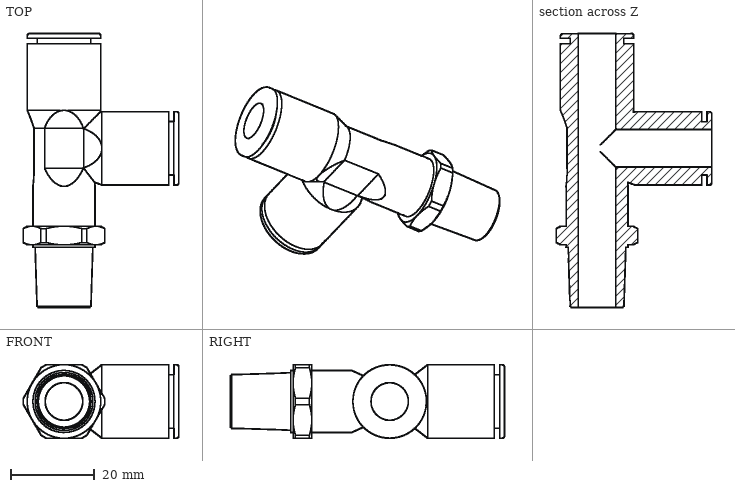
import cadquery as cq
import math

port_length = 27.36
stud_length = 37.92

port_diameter = 17.53
collar_thickness = 1.2
collar_edge_radius = 0.55
collar_gap = 1.2
collar_neck_diameter = 12.8
shoulder_distance = 9.03

hub_half_length = 4.75
hub_diameter = 14.3
hub_half_height = 5.45

barrel_diameter = 14.8
hex_start = 18.55
hex_end = 23.0
hex_across_flats = 17.53
hex_corner_diameter = 19.46
hex_chamfer_angle = 30
washer_end = 23.6
thread_taper = 1 / 16
thread_tip_diameter = 12.9
thread_tip_chamfer = 0.35
bore_diameter = 8.9

port_radius = port_diameter / 2
hub_radius = hub_diameter / 2
barrel_radius = barrel_diameter / 2


def revolve_along_y(profile):
    """Revolve a closed (radius, y) profile about the Y axis."""
    return cq.Workplane("XY").polyline(profile).close().revolve(360, (0, 0, 0), (0, 1, 0))


def cylinder_along_y(radius, y_from, y_to):
    return revolve_along_y([(0, y_from), (radius, y_from), (radius, y_to), (0, y_to)])


def cone_flats(end_radius):
    """Space between two flats widening from the hub height to end_radius at the shoulder."""
    reach = port_diameter
    half_outline = [
        (0, hub_half_height),
        (hub_half_length, hub_half_height),
        (shoulder_distance, end_radius),
    ]
    mirrored = [(y, -z) for y, z in reversed(half_outline)]
    return cq.Workplane("YZ").polyline(half_outline + mirrored).close().extrude(reach, both=True)


def hub_arm(end_radius):
    """Half of the hub and its cone, running from the origin towards +Y."""
    cone = revolve_along_y([
        (0, 0),
        (hub_radius, 0),
        (hub_radius, hub_half_length),
        (end_radius, shoulder_distance),
        (0, shoulder_distance),
    ])
    return cone.intersect(cone_flats(end_radius))


def push_in_port():
    """Hub arm, barrel, neck and release collar, running from the origin towards +Y."""
    collar_start = port_length - collar_thickness
    barrel_end = collar_start - collar_gap
    barrel = cylinder_along_y(port_radius, shoulder_distance, barrel_end)
    neck = cylinder_along_y(collar_neck_diameter / 2, barrel_end, collar_start)
    collar = cylinder_along_y(port_radius, collar_start, port_length)
    collar = collar.faces(">Y").edges().fillet(collar_edge_radius)
    return hub_arm(port_radius).union(barrel).union(neck).union(collar)


def hexagon():
    """Wrench hexagon with flats facing +Z and -Z, turned corners and chamfered ends."""
    corner_radius = hex_corner_diameter / 2
    face_radius = hex_across_flats / 2
    chamfer_depth = (corner_radius - face_radius) * math.tan(math.radians(hex_chamfer_angle))
    prism = (
        cq.Workplane("XZ", origin=(0, -hex_start, 0))
        .polygon(6, hex_across_flats / math.cos(math.pi / 6))
        .extrude(hex_end - hex_start)
    )
    turned = revolve_along_y([
        (0, -hex_start),
        (face_radius, -hex_start),
        (corner_radius, -hex_start - chamfer_depth),
        (corner_radius, -hex_end + chamfer_depth),
        (face_radius, -hex_end),
        (0, -hex_end),
    ])
    return prism.intersect(turned)


def threaded_end():
    """Hub arm, barrel, hexagon and tapered stud, running from the origin towards -Y."""
    arm = hub_arm(barrel_radius).rotate((0, 0, 0), (0, 0, 1), 180)
    barrel = cylinder_along_y(barrel_radius, -washer_end, -shoulder_distance)
    tip_radius = thread_tip_diameter / 2
    root_radius = tip_radius + (stud_length - washer_end) * thread_taper / 2
    stud = revolve_along_y([
        (0, -washer_end),
        (root_radius, -washer_end),
        (tip_radius, -stud_length + thread_tip_chamfer),
        (tip_radius - thread_tip_chamfer, -stud_length),
        (0, -stud_length),
    ])
    return arm.union(barrel).union(hexagon()).union(stud)


def bores():
    """Through bore of the run and the branch bore that opens into it."""
    bore_radius = bore_diameter / 2
    run_bore = cylinder_along_y(bore_radius, -stud_length, port_length)
    branch_bore = cq.Workplane("YZ").circle(bore_radius).extrude(port_length)
    return run_bore.union(branch_bore)


run_port = push_in_port()
branch_port = run_port.rotate((0, 0, 0), (0, 0, 1), -90)
result = threaded_end().union(run_port).union(branch_port).cut(bores())